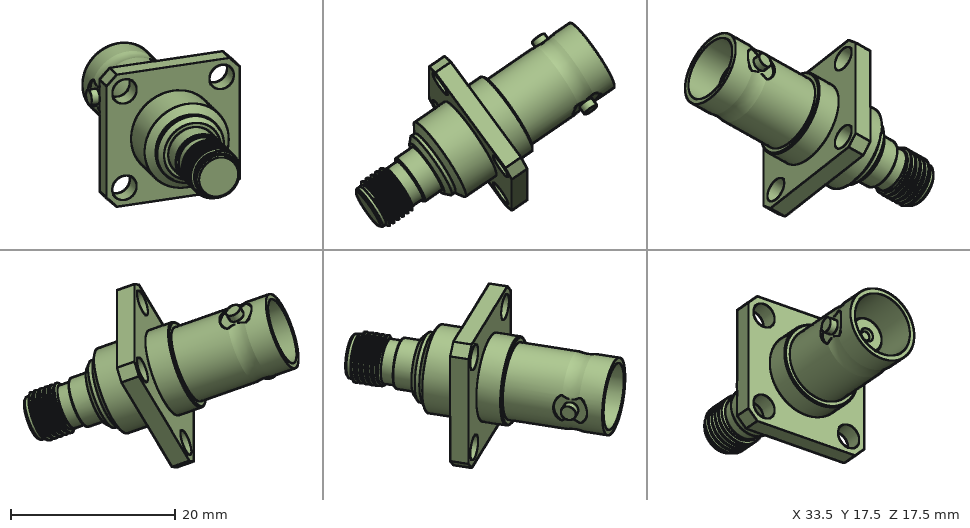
import cadquery as cq

TOTAL_LENGTH = 33.48
SLEEVE_START = 12.65
SLEEVE_END = 22.73
COLLAR_START = 23.47
COLLAR_END = 24.05
BOSS_START = 24.67
BOSS_END = 27.25
THREAD_START = 28.85
THREAD_END = 32.75

BARREL_DIA = 9.6
SLEEVE_DIA = 11.0
COLLAR_DIA = 8.75
COLLAR_END_DIA = 7.43
BOSS_DIA = 6.35
NECK_DIA = 5.6

SLEEVE_CHAMFER = 0.15
BOSS_CHAMFER = 0.1
NECK_CHAMFER = 0.25

FLANGE_SIDE = 17.45
FLANGE_START = 15.85
FLANGE_THICKNESS = 2.35
FLANGE_CORNER = 1.35
MOUNT_HOLE_DIA = 3.18
MOUNT_HOLE_SPACING = 12.72

LUG_X = 4.1
LUG_DIA = 1.9
LUG_SPAN = 11.05
LUG_SEAT_DIA = 4.32
LUG_SEAT_SPAN = 8.95
GROOVE_WIDTH = 2.2
GROOVE_DEPTH = 0.15

BORE_DIA = 8.27
BORE_DEPTH = 9.37
SEAT_DIA = 7.2
SEAT_DEPTH = 10.7
CORE_DIA = 4.6
CORE_FACE_X = 3.2
CORE_CHAMFER = 0.1
COUNTERSINK_DIA = 1.77
CONTACT_DIA = 1.2
COUNTERSINK_DEPTH = 0.35

THREAD_DIA = 6.35
THREAD_ROOT_DIA = 5.65
THREAD_PITCH = 0.7
THREAD_TURNS = 5.5
RIDGE_ROOT_WIDTH = 0.57
RIDGE_CREST_WIDTH = 0.17
RIDGE_OVERLAP = 0.07
THREAD_RUNOUT = 0.27


def disc(diameter, start, end):
    """Solid cylinder along X between two stations."""
    return cq.Workplane("YZ", origin=(start, 0, 0)).circle(diameter / 2).extrude(end - start)


def revolve_about_x(profile):
    """Turn a closed profile of (x, radius) points about the connector axis."""
    return cq.Workplane("XY").polyline(profile).close().revolve(360, (0, 0, 0), (1, 0, 0))


def turned_body():
    barrel_r = BARREL_DIA / 2
    sleeve_r = SLEEVE_DIA / 2
    boss_r = BOSS_DIA / 2
    neck_r = NECK_DIA / 2
    return revolve_about_x([
        (0, 0),
        (0, barrel_r),
        (SLEEVE_START, barrel_r),
        (SLEEVE_START, sleeve_r - SLEEVE_CHAMFER),
        (SLEEVE_START + SLEEVE_CHAMFER, sleeve_r),
        (SLEEVE_END, sleeve_r),
        (COLLAR_START, COLLAR_DIA / 2),
        (COLLAR_END, COLLAR_DIA / 2),
        (BOSS_START, COLLAR_END_DIA / 2),
        (BOSS_START, boss_r),
        (BOSS_END - BOSS_CHAMFER, boss_r),
        (BOSS_END, boss_r - BOSS_CHAMFER),
        (BOSS_END, neck_r),
        (TOTAL_LENGTH - NECK_CHAMFER, neck_r),
        (TOTAL_LENGTH, neck_r - NECK_CHAMFER),
        (TOTAL_LENGTH, 0),
    ])


def flange():
    plate = (
        cq.Workplane("YZ", origin=(FLANGE_START, 0, 0))
        .rect(FLANGE_SIDE, FLANGE_SIDE)
        .extrude(FLANGE_THICKNESS)
        .edges("|X")
        .chamfer(FLANGE_CORNER)
    )
    holes = (
        cq.Workplane("YZ", origin=(FLANGE_START, 0, 0))
        .rect(MOUNT_HOLE_SPACING, MOUNT_HOLE_SPACING, forConstruction=True)
        .vertices()
        .circle(MOUNT_HOLE_DIA / 2)
        .extrude(FLANGE_THICKNESS)
    )
    return plate.cut(holes)


def lug_groove():
    """Ring with a concave arc floor, sunk into the barrel."""
    barrel_r = BARREL_DIA / 2
    half_width = GROOVE_WIDTH / 2
    return (
        cq.Workplane("XY")
        .moveTo(LUG_X - half_width, barrel_r)
        .threePointArc((LUG_X, barrel_r - GROOVE_DEPTH), (LUG_X + half_width, barrel_r))
        .lineTo(LUG_X + half_width, barrel_r + GROOVE_DEPTH)
        .lineTo(LUG_X - half_width, barrel_r + GROOVE_DEPTH)
        .close()
        .revolve(360, (0, 0, 0), (1, 0, 0))
    )


def cross_pin(diameter, inner_span, outer_span):
    """Two opposed cylinders along Y, between the inner and outer spans."""
    length = (outer_span - inner_span) / 2
    pin = cq.Workplane("XZ", origin=(LUG_X, -inner_span / 2, 0)).circle(diameter / 2).extrude(length)
    return pin.union(pin.mirror("XZ"))


def socket_cavity():
    bore = revolve_about_x([
        (0, 0),
        (0, BORE_DIA / 2),
        (BORE_DEPTH, BORE_DIA / 2),
        (SEAT_DEPTH, SEAT_DIA / 2),
        (SEAT_DEPTH, 0),
    ])
    core = disc(CORE_DIA, CORE_FACE_X, SEAT_DEPTH).faces("<X").chamfer(CORE_CHAMFER)
    countersink_floor = CORE_FACE_X + COUNTERSINK_DEPTH
    countersink = revolve_about_x([
        (CORE_FACE_X, 0),
        (CORE_FACE_X, COUNTERSINK_DIA / 2),
        (countersink_floor, CONTACT_DIA / 2),
        (countersink_floor, 0),
    ])
    return bore.cut(core.cut(countersink))


def thread():
    """Right-handed helical ridge, on a root band, tapering out at both ends."""
    band_r = THREAD_ROOT_DIA / 2
    root_r = band_r - RIDGE_OVERLAP
    crest_r = THREAD_DIA / 2
    height = THREAD_PITCH * THREAD_TURNS
    path = cq.Workplane(obj=cq.Wire.makeHelix(THREAD_PITCH, height, root_r))
    ridge = (
        cq.Workplane("XZ")
        .polyline([
            (root_r, -RIDGE_ROOT_WIDTH / 2),
            (crest_r, -RIDGE_CREST_WIDTH / 2),
            (crest_r, RIDGE_CREST_WIDTH / 2),
            (root_r, RIDGE_ROOT_WIDTH / 2),
        ])
        .close()
        .sweep(path, isFrenet=True)
        .rotate((0, 0, 0), (0, 1, 0), 90)
        .translate((THREAD_START, 0, 0))
    )
    envelope_r = crest_r + RIDGE_OVERLAP
    envelope = revolve_about_x([
        (THREAD_START, 0),
        (THREAD_START, band_r),
        (THREAD_START + THREAD_RUNOUT, envelope_r),
        (THREAD_END - THREAD_RUNOUT, envelope_r),
        (THREAD_END, band_r),
        (THREAD_END, 0),
    ])
    band = disc(THREAD_ROOT_DIA, THREAD_START, THREAD_END)
    return band.union(ridge.intersect(envelope))


result = (
    turned_body()
    .cut(lug_groove())
    .cut(cross_pin(LUG_SEAT_DIA, LUG_SEAT_SPAN, SLEEVE_DIA))
    .union(cross_pin(LUG_DIA, BORE_DIA, LUG_SPAN))
    .cut(socket_cavity())
    .union(flange().cut(disc(NECK_DIA, 0, TOTAL_LENGTH)))
    .union(thread())
)